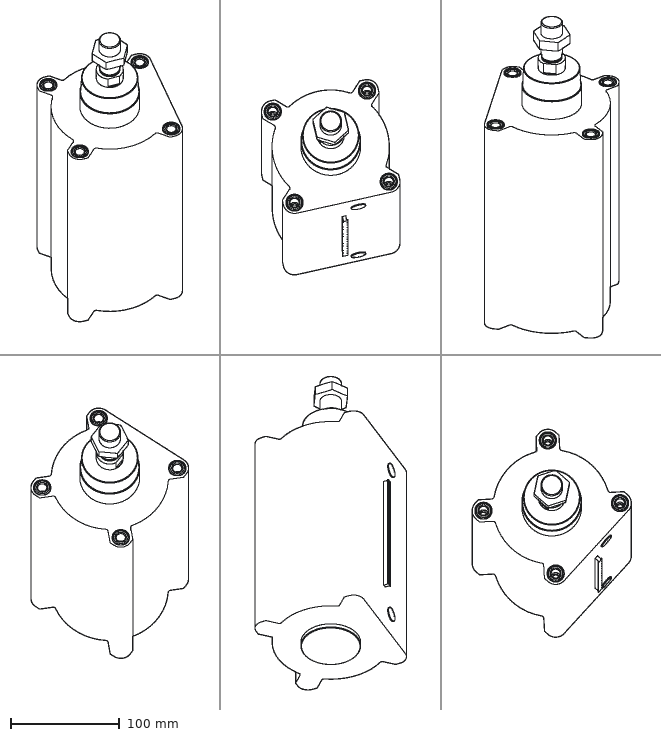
import cadquery as cq
import math

total_height = 311.5
body_bottom = 4.5
body_top = 222.0
collar_top = 242.0
cone_top = 260.7
flats_bottom = 262.0
shoulder_top = 272.0
neck_top = 275.5
thread_bottom = 277.5
nut_bottom = 289.5
nut_height = 9.7
body_height = body_top - body_bottom
body_middle = (body_bottom + body_top) / 2

body_width = 110.0
barrel_diameter = 108.0
screw_offset = 44.5
lobe_width = 21.2
lobe_corner_fillet = 1.2
lobe_root_fillet = 2.2
half_width = body_width / 2
corner_radius = half_width - screw_offset

groove_diameter = 16.0
groove_depth = 1.2
head_base_diameter = 15.0
head_face_diameter = 13.0
countersink_diameter = 10.3
tapped_diameter = 8.5
tapped_depth = 15.0
socket_diameter = 6.0
socket_depth = 20.0

spigot_diameter = 55.0
spigot_chamfer = 0.5
nose_chamfer = 0.5
cone_bottom_diameter = 53.5
cone_top_diameter = 52.0

rail_length = 122.5
overall_depth = 115.0
rail_top = overall_depth - half_width
rail_head_width = 5.0
rail_head_thickness = 1.0
rail_stem_width = 3.0
rail_foot_width = 3.7
rail_foot_height = 1.2
port_boss_diameter = 13.7
port_boss_height = 1.0
port_boss_x = -13.5
port_boss_spacing = 170.0

rod_diameter = 25.0
rod_flats = 22.0
thread_diameter = 20.0
neck_diameter = 18.7
neck_groove_diameter = 18.5
neck_groove_width = 1.2
tip_chamfer = 1.0
nut_flats = 30.0
nut_corner_diameter = nut_flats / math.cos(math.pi / 6)
nut_face_diameter = 31.8
nut_bevel_height = 0.3


def cylinder(diameter, bottom, top):
    return cq.Workplane("XY").workplane(offset=bottom).circle(diameter / 2).extrude(top - bottom)


def cone(bottom_diameter, top_diameter, bottom, top):
    return (
        cq.Workplane("XY").workplane(offset=bottom).circle(bottom_diameter / 2)
        .workplane(offset=top - bottom).circle(top_diameter / 2).loft()
    )


def block(width, depth):
    """Box of the body height, centred on the axis."""
    return cq.Workplane("XY").workplane(offset=body_bottom).rect(width, depth).extrude(body_height)


def upright_edges(solid, distance):
    """Vertical edges at the given distance from the cylinder axis."""
    return solid.edges("|Z").filter(
        lambda edge: math.isclose(math.hypot(edge.Center().x, edge.Center().y), distance, rel_tol=1e-4)
    )


def make_profile():
    """Round barrel with a flat +Y side and four diagonal screw lobes."""
    square = block(body_width, body_width).edges("|Z").fillet(corner_radius)
    profile = cylinder(barrel_diameter, body_bottom, body_top)
    for angle in (45, 135):
        strip = block(2 * body_width, lobe_width).rotate((0, 0, 0), (0, 0, 1), angle)
        profile = profile.union(square.intersect(strip))
    flat_side = block(2 * screw_offset, half_width).translate((0, half_width / 2, 0))
    profile = profile.union(flat_side)

    lobe_corner = half_width - lobe_width / math.sqrt(2)
    corner_distance = math.hypot(half_width, lobe_corner)
    profile = upright_edges(profile, corner_distance).fillet(lobe_corner_fillet)
    return upright_edges(profile, barrel_diameter / 2).fillet(lobe_root_fillet)


def make_screw_recess():
    """Hollow of one corner screw, on the axis."""
    countersink_depth = (countersink_diameter - tapped_diameter) / 2
    groove_floor = body_top - groove_depth
    head = cone(head_base_diameter, head_face_diameter, groove_floor, body_top)
    return (
        cylinder(groove_diameter, groove_floor, body_top).cut(head)
        .union(cone(tapped_diameter, countersink_diameter, body_top - countersink_depth, body_top))
        .union(cylinder(tapped_diameter, body_top - tapped_depth, body_top - countersink_depth))
        .union(cylinder(socket_diameter, body_top - socket_depth, body_top - tapped_depth))
    )


def make_rail():
    """T-shaped sensor rail with a tapered foot along the flat side."""
    half_profile = [
        (0, half_width),
        (rail_foot_width / 2, half_width),
        (rail_stem_width / 2, half_width + rail_foot_height),
        (rail_stem_width / 2, rail_top - rail_head_thickness),
        (rail_head_width / 2, rail_top - rail_head_thickness),
        (rail_head_width / 2, rail_top),
        (0, rail_top),
    ]
    return (
        cq.Workplane("XY").workplane(offset=body_middle - rail_length / 2)
        .polyline(half_profile).mirrorY().extrude(rail_length)
    )


def make_port_boss(height):
    return (
        cq.Workplane("XZ", origin=(port_boss_x, half_width, height))
        .circle(port_boss_diameter / 2).extrude(-port_boss_height)
    )


def make_housing():
    rear_spigot = cylinder(spigot_diameter, 0, body_bottom).faces("<Z").chamfer(spigot_chamfer)
    collar = cylinder(spigot_diameter, body_top, collar_top).faces(">Z").chamfer(spigot_chamfer)
    nose = cone(cone_bottom_diameter, cone_top_diameter, collar_top, cone_top).faces(">Z").chamfer(nose_chamfer)
    housing = make_profile().union(rear_spigot).union(collar).union(nose).union(make_rail())
    for side in (-1, 1):
        housing = housing.union(make_port_boss(body_middle + side * port_boss_spacing / 2))
    for x in (-screw_offset, screw_offset):
        for y in (-screw_offset, screw_offset):
            housing = housing.cut(make_screw_recess().translate((x, y, 0)))
    return housing.cut(cylinder(rod_diameter, body_top, cone_top))


def make_rod():
    """Piston rod with two wrench flats, a neck and a threaded end."""
    shank = cylinder(rod_diameter, body_top, shoulder_top)
    flats = (
        cq.Workplane("XY").workplane(offset=flats_bottom)
        .rect(rod_flats, rod_diameter).extrude(shoulder_top - flats_bottom)
    )
    flatted = shank.intersect(flats)
    neck_middle = (shoulder_top + neck_top) / 2
    neck = (
        cylinder(neck_diameter, shoulder_top, neck_middle - neck_groove_width / 2)
        .union(cylinder(neck_groove_diameter, shoulder_top, neck_top))
        .union(cylinder(neck_diameter, neck_middle + neck_groove_width / 2, neck_top))
    )
    runout = cone(neck_diameter, thread_diameter, neck_top, thread_bottom)
    thread = cylinder(thread_diameter, thread_bottom, total_height).faces(">Z").chamfer(tip_chamfer)
    root = cylinder(rod_diameter, body_top, flats_bottom)
    return root.union(flatted).union(neck).union(runout).union(thread)


def make_nut():
    """Hexagon nut with two flats facing along X."""
    hexagon = (
        cq.Workplane("XY").workplane(offset=nut_bottom)
        .polygon(6, nut_flats, circumscribed=True).extrude(nut_height)
    )
    nut_top = nut_bottom + nut_height
    lower_bevel_end = nut_bottom + nut_bevel_height
    upper_bevel_start = nut_top - nut_bevel_height
    bevelled_blank = (
        cone(nut_face_diameter, nut_corner_diameter, nut_bottom, lower_bevel_end)
        .union(cylinder(nut_corner_diameter, lower_bevel_end, upper_bevel_start))
        .union(cone(nut_corner_diameter, nut_face_diameter, upper_bevel_start, nut_top))
    )
    return hexagon.intersect(bevelled_blank).cut(cylinder(thread_diameter, nut_bottom, nut_top))


housing = make_housing()
rod = make_rod()
nut = make_nut()
result = cq.Compound.makeCompound([housing.val(), rod.val(), nut.val()])